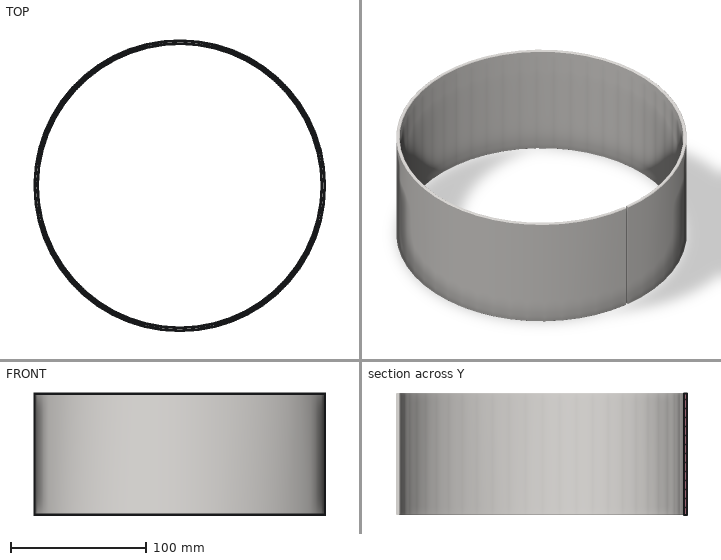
import cadquery as cq

outer_diameter = 215.0
height = 90.0
wall = 2.5
rim_chamfer = 0.5
slit_width = 1.7

outer_radius = outer_diameter / 2

band = (
    cq.Workplane("XY")
    .circle(outer_radius)
    .circle(outer_radius - wall)
    .extrude(height)
    .edges("%CIRCLE")
    .chamfer(rim_chamfer)
)

slit = (
    cq.Workplane("XY")
    .box(outer_radius, slit_width, height, centered=False)
    .translate((-outer_radius, 0, 0))
)

result = band.cut(slit)